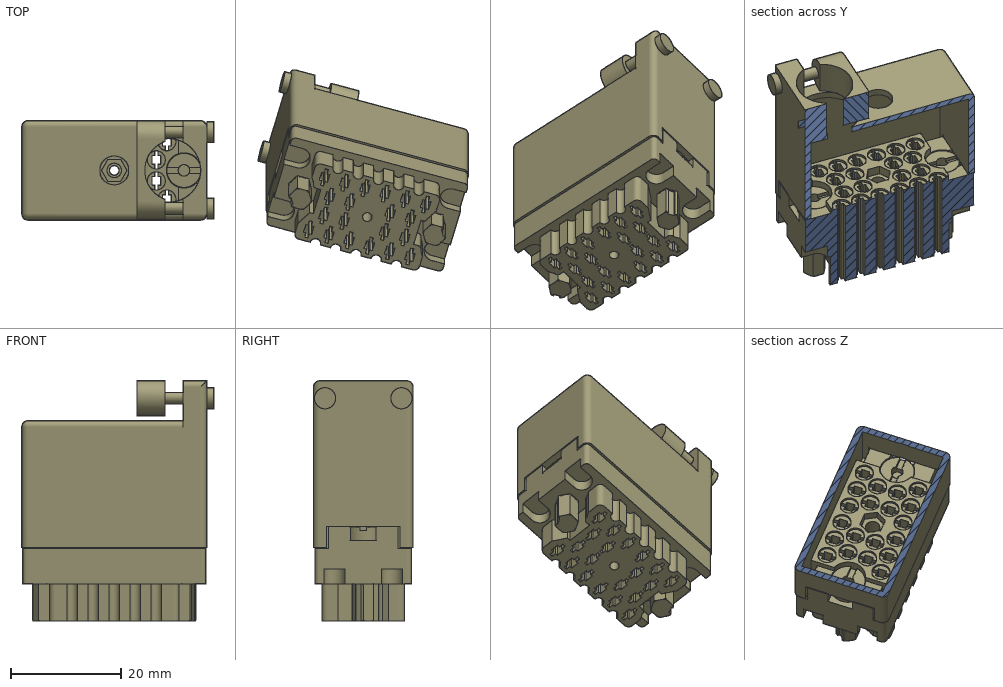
import cadquery as cq
import math

flange_bottom = 6.78
flange_top = 13.2
hood_bottom = 13.38
tab_top = 17.2
block_top = 18.35
hood_top = 36.45
overall_top = 43.7

hood_length = 33.65
hood_width = 18.15
hood_fillet = 1.2
hood_wall = 1.25
lug_thickness = 4.33
access_hole_radius = 2.62
end_notch_width = 13.38

cable_x = 9.92
cable_radius = 5.75

clamp_left = 4.1
clamp_thickness = 5.15
clamp_height = 6.4
clamp_width = 17.88
clamp_bore_x = 11.15
clamp_bore_radius = 5.6
screw_y = 6.95
screw_shank_radius = 1.07
screw_head_radius = 1.92
screw_head_thickness = 1.25
screw_depth_in_clamp = 2.62

flange_length = 33.35
flange_width = 17.55
flange_fillet = 0.85
block_length = 23.35
block_width = 15.12
tab_width = 12.7
foot_slot_radius = 1.92
foot_slot_y = 5.25
foot_slot_straight = 2.4
foot_slot_top = 9.5
nut_pocket_apothem = 2.0
nut_pocket_depth = 1.75
centre_bore_radius = 1.3
centre_bore_depth = 3.5
centre_hole_radius = 0.852

contact_pitch = 3.825
inner_row_y = contact_pitch / 2
outer_row_y = inner_row_y + contact_pitch * math.sin(math.radians(60))
inner_row_steps = (-2, -1, 1, 2)
outer_row_steps = (-2.5, -1.5, -0.5, 0.5, 1.5, 2.5)
contact_recess_radius = 1.64
contact_recess_depth = 0.45
contact_square = 1.55
contact_arm_width = 0.55
contact_arm_length = 3.25
plug_length = 23.5
plug_width = 15.1
plug_corner_radius = 1.0
groove_radius = 0.95
groove_steps = (-2, -1, 0, 1, 2)
end_recess_depth = 2.2
end_recess_half_width = 4.6
end_recess_side_y = 2.05
end_recess_arc_y = 3.5
end_recess_shoulder_y = 2.75

jack_x = 12.68
jack_head_radius = 3.1
jack_head_bottom = 14.65
jack_head_top = 17.1
jack_shank_radius = 1.85
jack_pocket_radius = 3.2
jack_window_width = 4.68
jack_slot_width = 1.15
jack_slot_depth = 0.65
jack_bore_radius = 1.05
jack_bore_depth = 1.75
post_apothem = 1.9
post_chamfer = 0.17
key_width = 1.22
key_depth = 0.35

hood_end = hood_length / 2
lug_inner_x = hood_end - lug_thickness
clamp_right = clamp_left + clamp_thickness
screw_z = overall_top - clamp_height / 2
flange_end = flange_length / 2
block_end = block_length / 2
post_vertex_radius = post_apothem / math.cos(math.radians(30))


def block(x_min, x_max, width, z_min, z_max):
    """Box between two X and two Z levels, centred on Y = 0."""
    return (
        cq.Workplane("XY")
        .box(x_max - x_min, width, z_max - z_min, centered=(False, True, False))
        .translate((x_min, 0, z_min))
    )


def upright_cylinder(x, y, radius, z_min, z_max):
    return cq.Workplane("XY", origin=(x, y, z_min)).circle(radius).extrude(z_max - z_min)


def hexagon(x, apothem, z_min, z_max):
    """Hexagonal prism with two flats facing along Y."""
    across_corners = 2 * apothem / math.cos(math.radians(30))
    return cq.Workplane("XY", origin=(x, 0, z_min)).polygon(6, across_corners).extrude(z_max - z_min)


def half_turn(shape):
    """Copy at the opposite end of the part."""
    return shape.rotate((0, 0, 0), (0, 0, 1), 180)


def screw_cylinder(side, radius, x_min, x_max):
    """Cylinder along X on the axis of the clamp screw on one side."""
    axis_start = cq.Workplane("YZ", origin=(x_min, side * screw_y, screw_z))
    return axis_start.circle(radius).extrude(x_max - x_min)


def build_hood():
    body = block(-hood_end, hood_end, hood_width, hood_bottom, hood_top)
    body = body.edges("(|Z and <X) or (>Z and (not >X))").fillet(hood_fillet)
    lug = block(lug_inner_x, hood_end, hood_width, hood_bottom, overall_top)
    hood = body.union(lug.edges("|X and >Z").fillet(hood_fillet))

    rounded_plan = block(-hood_end, hood_end, hood_width, hood_bottom, overall_top)
    hood = hood.intersect(rounded_plan.edges("|Z and >X").fillet(hood_fillet))

    cavity_end = hood_end - hood_wall
    cavity_width = hood_width - 2 * hood_wall
    hood = hood.cut(block(-cavity_end, cavity_end, cavity_width, hood_bottom, hood_top - hood_wall))
    hood = hood.cut(block(-hood_end, hood_end, end_notch_width, hood_bottom, tab_top))

    hood = hood.cut(upright_cylinder(0, 0, access_hole_radius, tab_top, hood_top))
    hood = hood.cut(upright_cylinder(cable_x, 0, cable_radius, tab_top, overall_top))
    for side in (-1, 1):
        hood = hood.cut(screw_cylinder(side, screw_shank_radius, lug_inner_x, hood_end))
    return hood


def build_clamp_bar():
    bar = (
        cq.Workplane("YZ", origin=(clamp_left, 0, screw_z))
        .slot2D(clamp_width, clamp_height)
        .extrude(clamp_thickness)
    )
    bar = bar.cut(upright_cylinder(clamp_bore_x, 0, clamp_bore_radius, hood_top, overall_top))
    for side in (-1, 1):
        socket = screw_cylinder(side, screw_shank_radius, clamp_right - screw_depth_in_clamp, clamp_right)
        bar = bar.cut(socket)
    return bar


def build_clamp_screw(side):
    shank = screw_cylinder(side, screw_shank_radius, clamp_right - screw_depth_in_clamp, hood_end)
    head = screw_cylinder(side, screw_head_radius, hood_end, hood_end + screw_head_thickness)
    return shank.union(head)


def plug_end_recess():
    """Cut-out at the -X end of the plug that clears the hexagonal post."""
    face_x = -plug_length / 2
    floor_x = face_x + end_recess_depth
    slope = math.tan(math.radians(30))
    side_x = face_x + slope * (end_recess_half_width - end_recess_side_y)
    arc_x = face_x + slope * (end_recess_half_width - end_recess_arc_y)
    arc_drop = end_recess_arc_y - end_recess_shoulder_y
    return (
        cq.Workplane("XY")
        .moveTo(face_x, end_recess_half_width)
        .lineTo(side_x, end_recess_side_y)
        .lineTo(floor_x, end_recess_side_y)
        .lineTo(floor_x, -end_recess_shoulder_y)
        .lineTo(arc_x + arc_drop, -end_recess_shoulder_y)
        .tangentArcPoint((arc_x, -end_recess_arc_y), relative=False)
        .lineTo(face_x, -end_recess_half_width)
        .close()
        .extrude(flange_bottom)
    )


def build_plug():
    plug = block(-plug_length / 2, plug_length / 2, plug_width, 0, flange_bottom)
    plug = plug.edges("|Z").fillet(plug_corner_radius)
    for side in (-1, 1):
        for step in groove_steps:
            groove = upright_cylinder(
                step * contact_pitch, side * plug_width / 2, groove_radius, 0, flange_bottom
            )
            plug = plug.cut(groove)
    recess = plug_end_recess()
    return plug.cut(recess).cut(half_turn(recess))


def contact_positions():
    inner = [(s * contact_pitch, side * inner_row_y) for side in (-1, 1) for s in inner_row_steps]
    outer = [(s * contact_pitch, side * outer_row_y) for side in (-1, 1) for s in outer_row_steps]
    return inner + outer


def cut_contact_holes(connector):
    """Cross-shaped through holes, each in a shallow round recess."""
    places = contact_positions()
    bottom = cq.Workplane("XY").pushPoints(places)
    squares = bottom.rect(contact_square, contact_square).extrude(block_top)
    arms = bottom.rect(contact_arm_width, contact_arm_length).extrude(block_top)
    recess_floor = cq.Workplane("XY", origin=(0, 0, block_top - contact_recess_depth))
    recesses = recess_floor.pushPoints(places).circle(contact_recess_radius).extrude(contact_recess_depth)
    return connector.cut(squares).cut(arms).cut(recesses)


def cut_centre_hole(connector):
    pocket_floor = block_top - nut_pocket_depth
    connector = connector.cut(hexagon(0, nut_pocket_apothem, pocket_floor, block_top))
    bore_floor = pocket_floor - centre_bore_depth
    connector = connector.cut(upright_cylinder(0, 0, centre_bore_radius, bore_floor, pocket_floor))
    return connector.cut(upright_cylinder(0, 0, centre_hole_radius, 0, block_top))


def jackscrew_seat():
    """Pocket, shank hole and end window of the jackscrew at the -X end."""
    pocket = upright_cylinder(-jack_x, 0, jack_pocket_radius, jack_head_bottom, block_top)
    shank_hole = upright_cylinder(-jack_x, 0, jack_shank_radius, flange_bottom, jack_head_bottom)
    window = block(-flange_end, -jack_x, jack_window_width, jack_head_bottom, tab_top)
    return pocket.union(shank_hole).union(window)


def foot_slot(side):
    """Round-ended slot open to the -X end and to the underside of the flange."""
    centre_x = -flange_end + foot_slot_straight
    straight = block(-flange_end, centre_x, 2 * foot_slot_radius, flange_bottom, foot_slot_top)
    straight = straight.translate((0, side * foot_slot_y, 0))
    round_end = upright_cylinder(
        centre_x, side * foot_slot_y, foot_slot_radius, flange_bottom, foot_slot_top
    )
    return straight.union(round_end)


def build_connector():
    flange = block(-flange_end, flange_end, flange_width, flange_bottom, flange_top)
    connector = flange.edges("|Z").fillet(flange_fillet)
    connector = connector.union(block(-flange_end, flange_end, tab_width, flange_top, tab_top))
    connector = connector.union(block(-block_end, block_end, block_width, flange_top, block_top))
    connector = connector.union(build_plug())

    end_cuts = jackscrew_seat().union(foot_slot(-1)).union(foot_slot(1))
    connector = connector.cut(end_cuts).cut(half_turn(end_cuts))
    connector = cut_contact_holes(connector)
    return cut_centre_hole(connector)


def build_jackscrew():
    """Jackscrew at the -X end: slotted head, shank and keyed hexagonal post."""
    head = upright_cylinder(-jack_x, 0, jack_head_radius, jack_head_bottom, jack_head_top)
    slot_floor = jack_head_top - jack_slot_depth
    slot_left = -jack_x - jack_head_radius
    slot_right = -jack_x + jack_head_radius
    head = head.cut(block(slot_left, slot_right, jack_slot_width, slot_floor, jack_head_top))
    bore_floor = jack_head_top - jack_bore_depth
    head = head.cut(upright_cylinder(-jack_x, 0, jack_bore_radius, bore_floor, jack_head_top))
    shank = upright_cylinder(-jack_x, 0, jack_shank_radius, flange_bottom, jack_head_bottom)

    post = hexagon(-jack_x, post_apothem, 0, flange_bottom)
    turned = upright_cylinder(-jack_x, 0, post_vertex_radius, 0, flange_bottom)
    post = post.intersect(turned.faces("<Z").chamfer(post_chamfer))

    keyway = block(-post_vertex_radius, key_depth - post_apothem, key_width, 0, flange_bottom)
    keyway = keyway.rotate((0, 0, 0), (0, 0, 1), -30).translate((-jack_x, 0, 0))
    return head.union(shank).union(post.cut(keyway))


hood = build_hood()
clamp_bar = build_clamp_bar()
clamp_screws = [build_clamp_screw(side) for side in (-1, 1)]
connector = build_connector()
jackscrew = build_jackscrew()
jackscrews = [jackscrew, half_turn(jackscrew)]

bodies = [hood, clamp_bar, connector] + clamp_screws + jackscrews
result = cq.Compound.makeCompound([body.solids().val() for body in bodies])